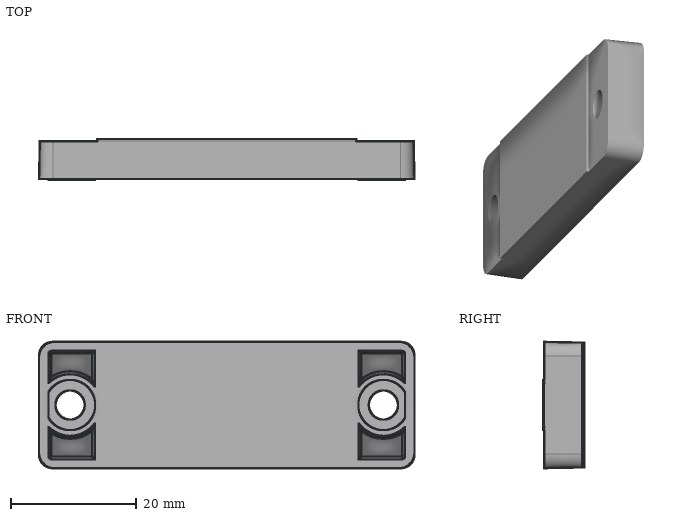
import cadquery as cq
import math


length = 60.0
height = 20.2
body_depth = 6.05
corner_radius = 2.3
body_inset = 0.1

pad_end_margin = 9.3
pad_thickness = 0.35
pad_length = length - 2 * pad_end_margin
pad_height = height - 2 * body_inset

side_rim = 1.45
end_rim = 1.5
recess_length = 7.45
recess_height = height - 2 * side_rim
recess_depth = 5.4
recess_corner_radius = 0.6
recess_inset = 0.5
recess_center = length / 2 - end_rim - recess_length / 2

hole_x = length / 2 - 5.0
hole_radius = 2.31
boss_radius = 4.9
boss_base_radius = boss_radius + recess_inset
seat_radius = 4.0
seat_height = 0.2


def draft_angle(inset, depth):
    """Draft in degrees that moves a wall inwards by inset over depth."""
    return math.degrees(math.atan(inset / depth))


def make_body():
    outline = cq.Sketch().rect(height, length).vertices().fillet(corner_radius)
    taper = draft_angle(body_inset, body_depth)
    body = cq.Workplane("ZX").placeSketch(outline).extrude(body_depth, taper=taper)
    pad = (
        cq.Workplane("ZX", origin=(0, body_depth, 0))
        .rect(pad_height, pad_length)
        .extrude(pad_thickness)
    )
    return body.union(pad)


def make_recess(side):
    """Recess around the boss; only its two outer corners are rounded."""
    outer_corners = ">Y" if side > 0 else "<Y"
    outline = (
        cq.Sketch()
        .rect(recess_height, recess_length)
        .vertices(outer_corners)
        .fillet(recess_corner_radius)
    )
    recess = (
        cq.Workplane("ZX", origin=(side * recess_center, 0, 0))
        .placeSketch(outline)
        .extrude(recess_depth, taper=draft_angle(recess_inset, recess_depth))
    )
    boss = cq.Workplane(
        cq.Solid.makeCone(
            boss_radius,
            boss_base_radius,
            recess_depth,
            pnt=cq.Vector(side * hole_x, 0, 0),
            dir=cq.Vector(0, 1, 0),
        )
    )
    return recess.cut(boss)


def make_seat(side):
    """Low round seat in front of the boss, trimmed flat along the end rim."""
    disc = (
        cq.Workplane("ZX", origin=(side * hole_x, -seat_height, 0))
        .circle(seat_radius)
        .extrude(seat_height)
    )
    trim = (
        cq.Workplane("ZX", origin=(side * recess_center, -seat_height, 0))
        .rect(recess_height, recess_length)
        .extrude(seat_height)
    )
    return disc.intersect(trim)


def make_hole(side):
    return (
        cq.Workplane("ZX", origin=(side * hole_x, -seat_height, 0))
        .circle(hole_radius)
        .extrude(seat_height + body_depth)
    )


result = make_body()
for side in (-1, 1):
    result = result.cut(make_recess(side))
    result = result.union(make_seat(side))
    result = result.cut(make_hole(side))